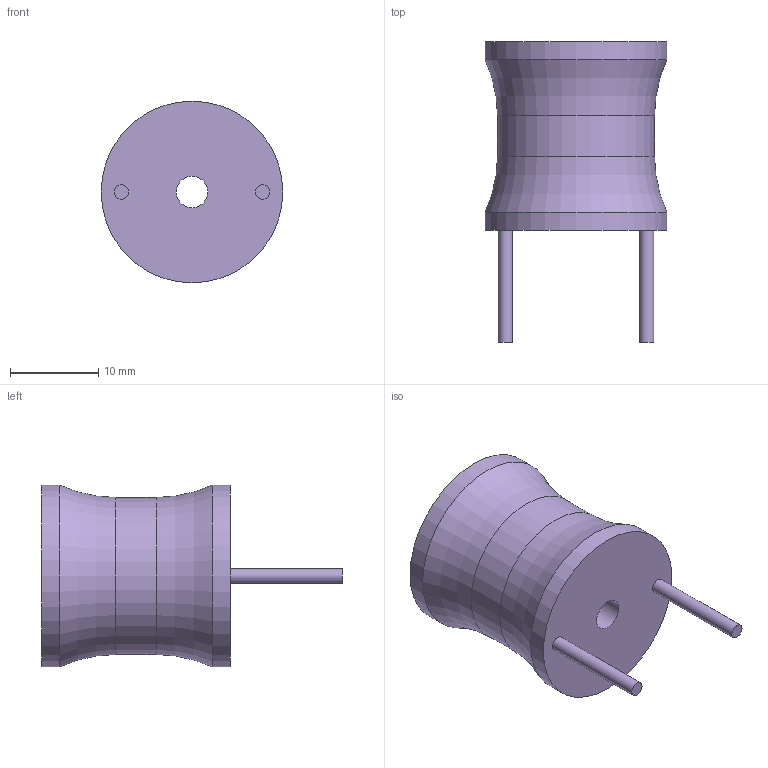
import cadquery as cq

flange_diameter = 20.574
waist_diameter = 17.78
body_length = 21.336
flange_thickness = 2.032
waist_length = 4.572
bore_diameter = 3.556

pin_diameter = 1.63
pin_length = 12.7
pin_spacing = 16.0

flange_radius = flange_diameter / 2
waist_radius = waist_diameter / 2

flare_length = (body_length - waist_length) / 2 - flange_thickness


def make_drum():
    """Revolve the flanged, waisted profile about Y, front face at Y = 0."""
    front_flare_start = flange_thickness
    waist_start = front_flare_start + flare_length
    waist_end = waist_start + waist_length
    back_flare_end = waist_end + flare_length

    flare_depth = flange_radius - waist_radius
    flare_radius = (flare_length**2 + flare_depth**2) / (2 * flare_depth)
    half_flare = flare_length / 2
    flare_mid_radius = waist_radius + flare_radius - (flare_radius**2 - half_flare**2) ** 0.5

    return (
        cq.Workplane("XY")
        .moveTo(0, 0)
        .lineTo(flange_radius, 0)
        .lineTo(flange_radius, front_flare_start)
        .threePointArc((flare_mid_radius, waist_start - half_flare), (waist_radius, waist_start))
        .lineTo(waist_radius, waist_end)
        .threePointArc((flare_mid_radius, waist_end + half_flare), (flange_radius, back_flare_end))
        .lineTo(flange_radius, body_length)
        .lineTo(0, body_length)
        .close()
        .revolve(360, (0, 0, 0), (0, 1, 0))
    )


def make_bore():
    """Through bore along the drum axis."""
    return cq.Workplane("XZ").circle(bore_diameter / 2).extrude(-body_length)


def make_pins():
    """Two round pins standing on the front face, side by side along X."""
    pin_centers = [(-pin_spacing / 2, 0), (pin_spacing / 2, 0)]
    return cq.Workplane("XZ").pushPoints(pin_centers).circle(pin_diameter / 2).extrude(pin_length)


result = make_drum().cut(make_bore()).union(make_pins())